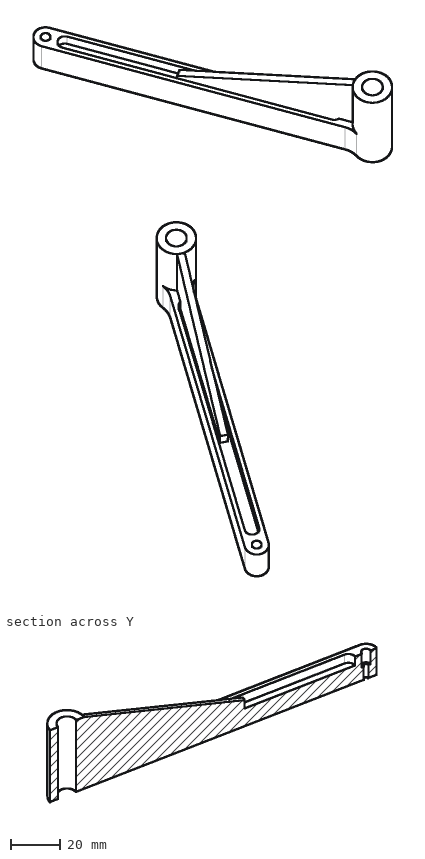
import cadquery as cq
import math

total_length = 153.0
arm_width = 10.0
arm_height = 15.0
boss_diameter = 16.0
boss_height = 40.0
boss_bore_diameter = 8.4
blend_radius = 10.0

pin_hole_diameter = 2.0
pin_counterbore_diameter = 4.0
pin_counterbore_depth = 7.5

pocket_width = 6.0
pocket_start = 10.3
pocket_end = 131.6
pocket_depth = 4.9

rib_thickness = 3.2
rib_start = 61.8
rib_start_height = 14.7

arm_radius = arm_width / 2
boss_radius = boss_diameter / 2
pin_x = arm_radius
boss_x = total_length - boss_radius
pocket_floor = arm_height - pocket_depth


def blend_points():
    """Tangent points and arc midpoint of the blend on the +Y side."""
    center_y = arm_radius + blend_radius
    center_distance = boss_radius + blend_radius
    center_x = boss_x - math.sqrt(center_distance**2 - center_y**2)
    boss_angle = math.atan2(-center_y, boss_x - center_x)
    middle_angle = (boss_angle - math.pi / 2) / 2

    def on_blend(angle):
        return (
            center_x + blend_radius * math.cos(angle),
            center_y + blend_radius * math.sin(angle),
        )

    return on_blend(-math.pi / 2), on_blend(middle_angle), on_blend(boss_angle)


def mirrored(point):
    return (point[0], -point[1])


def make_arm():
    """Bar with a rounded end, flaring tangentially into the boss."""
    arm_side, blend_middle, boss_side = blend_points()
    return (
        cq.Workplane("XY")
        .moveTo(pin_x, -arm_radius)
        .lineTo(*mirrored(arm_side))
        .threePointArc(mirrored(blend_middle), mirrored(boss_side))
        .threePointArc((total_length, 0), boss_side)
        .threePointArc(blend_middle, arm_side)
        .lineTo(pin_x, arm_radius)
        .threePointArc((0, 0), (pin_x, -arm_radius))
        .close()
        .extrude(arm_height)
    )


def make_pocket():
    """Round-ended pocket cut into the top of the arm."""
    return (
        cq.Workplane("XY", origin=((pocket_start + pocket_end) / 2, 0, pocket_floor))
        .slot2D(pocket_end - pocket_start, pocket_width)
        .extrude(pocket_depth)
    )


def make_rib():
    """Sloping web rising from the pocket floor to the top of the boss."""
    rib_end = boss_x - math.sqrt(boss_radius**2 - (rib_thickness / 2) ** 2)
    return (
        cq.Workplane("XZ")
        .moveTo(rib_start, pocket_floor)
        .lineTo(rib_start, rib_start_height)
        .lineTo(rib_end, boss_height)
        .lineTo(boss_x, boss_height)
        .lineTo(boss_x, pocket_floor)
        .close()
        .extrude(rib_thickness / 2, both=True)
    )


def make_boss():
    return cq.Workplane("XY").center(boss_x, 0).circle(boss_radius).extrude(boss_height)


def make_bore():
    """Through bore of the boss."""
    return cq.Workplane("XY").center(boss_x, 0).circle(boss_bore_diameter / 2).extrude(boss_height)


body = make_arm().cut(make_pocket()).union(make_boss()).union(make_rib()).cut(make_bore())
result = (
    body.copyWorkplane(cq.Workplane("XY", origin=(pin_x, 0, arm_height)))
    .cboreHole(pin_hole_diameter, pin_counterbore_diameter, pin_counterbore_depth)
)